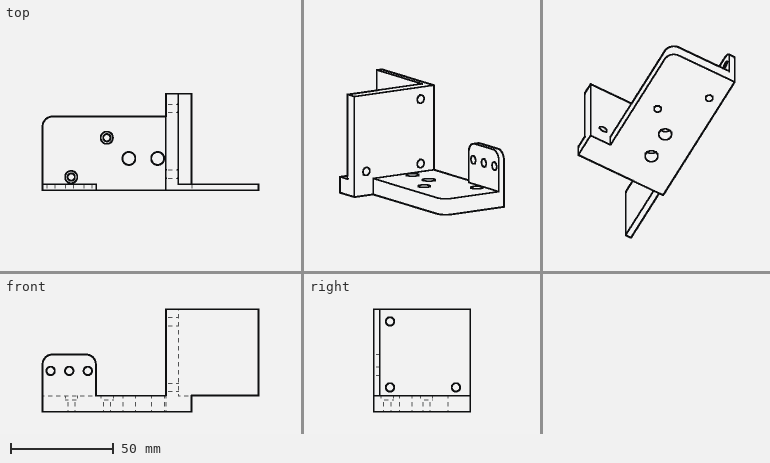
import cadquery as cq

length = 105.0
width = 47.0
height = 50.0

base_length = 72.5
base_width = 36.0
base_thickness = 8.0
corner_radius = 5.0

wall_start = 60.0
wall_thickness = 6.0
panel_thickness = 3.0

tab_length = 26.0
tab_height = 28.0

small_hole_diameter = 4.0
tab_hole_start = 4.0
tab_hole_pitch = 9.0
tab_hole_count = 3
tab_hole_height = 20.0
wall_hole_inset_y = 8.0
wall_hole_height = 12.0
wall_hole_pitch = 32.0
large_hole_diameter = 6.2
large_hole_points = [(42.0, 15.5), (56.0, 15.5)]
screw_hole_diameter = 3.5
screw_head_diameter = 6.0
screw_head_depth = 2.0
screw_points = [(14.0, 6.5), (31.3, 25.6)]


def block(x_start, x_end, depth, z_start, z_end):
    """Box between the given X and Z limits, reaching from Y = 0 to depth."""
    size = (x_end - x_start, depth, z_end - z_start)
    return cq.Workplane("XY").box(*size, centered=False).translate((x_start, 0, z_start))


def make_base():
    plate = block(0, wall_start, base_width, 0, base_thickness)
    plate = plate.edges("|Z and <X and >Y").fillet(corner_radius)
    foot = block(wall_start, base_length, width, 0, base_thickness)
    return plate.union(foot)


def make_tab():
    tab = block(0, tab_length, panel_thickness, 0, tab_height)
    return tab.edges("|Y and >Z").fillet(corner_radius)


def make_tab_holes():
    points = [(tab_hole_start + i * tab_hole_pitch, tab_hole_height) for i in range(tab_hole_count)]
    return (
        cq.Workplane("XZ").pushPoints(points)
        .circle(small_hole_diameter / 2).extrude(-panel_thickness)
    )


def make_wall_holes():
    far_y = wall_hole_inset_y + wall_hole_pitch
    points = [
        (wall_hole_inset_y, wall_hole_height),
        (far_y, wall_hole_height),
        (wall_hole_inset_y, wall_hole_height + wall_hole_pitch),
    ]
    return (
        cq.Workplane("YZ", origin=(wall_start, 0, 0)).pushPoints(points)
        .circle(small_hole_diameter / 2).extrude(wall_thickness)
    )


def vertical_holes(points, diameter, bottom=0.0):
    """Cylinders from the given height up to the top face of the base."""
    return (
        cq.Workplane("XY", origin=(0, 0, bottom)).pushPoints(points)
        .circle(diameter / 2).extrude(base_thickness - bottom)
    )


wall = block(wall_start, wall_start + wall_thickness, width, 0, height)
side_panel = block(wall_start, length, panel_thickness, base_thickness, height)

result = (
    make_base().union(wall).union(side_panel).union(make_tab())
    .cut(make_tab_holes())
    .cut(make_wall_holes())
    .cut(vertical_holes(large_hole_points, large_hole_diameter))
    .cut(vertical_holes(screw_points, screw_hole_diameter))
    .cut(vertical_holes(screw_points, screw_head_diameter, base_thickness - screw_head_depth))
)